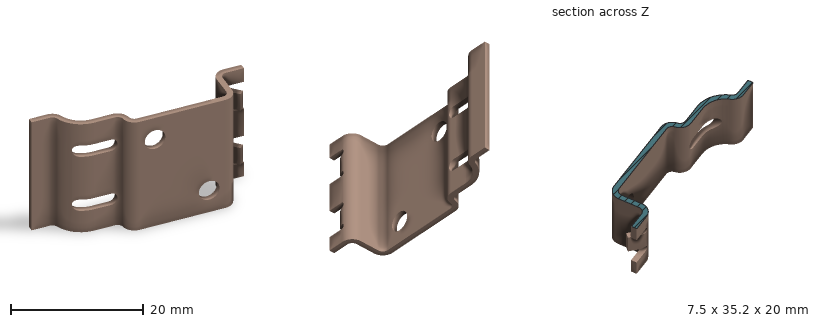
import cadquery as cq
import math

length = 35.2
depth = 7.5
height = 20.0
thickness = 1.0
bend_radius = 1.0
wide_bend_radius = 4.0

flange_length = 3.0
ledge_x = 3.9
plate_start_y = 15.0

tab_spacing = 10.0
tab_width = 3.05
slit_width = 0.95
tab_root_y = length - 3.2
tab_angle = 45.0
tab_straight = 1.8

hole_diameter = 3.4
hole_centers = [(17.55, 6.0), (26.55, -6.0)]
slot_length = 7.05
slot_width = 2.08
slot_center_y = 8.95
slot_spacing = 10.0


def sheet_strip(start, steps, width):
    """Sheet centred on Z = 0, starting along +Y with its -X face at start.

    Each step is ("straight", length) or ("bend", inside radius, angle);
    a positive angle turns left, towards -X.
    """
    x, y = start[0] + thickness / 2, start[1]
    heading = 90.0

    def face_point(side, at_x, at_y, at_heading):
        left = math.radians(at_heading + 90)
        shift = side * thickness / 2
        return at_x + shift * math.cos(left), at_y + shift * math.sin(left)

    stations = [(x, y, heading, None)]
    for kind, *values in steps:
        if kind == "straight":
            x += values[0] * math.cos(math.radians(heading))
            y += values[0] * math.sin(math.radians(heading))
            middle = None
        else:
            inside_radius, angle = values
            radius = inside_radius + thickness / 2
            turn = math.copysign(90, angle)
            to_center = math.radians(heading + turn)
            center_x = x + radius * math.cos(to_center)
            center_y = y + radius * math.sin(to_center)

            def on_bend(new_heading):
                outward = math.radians(new_heading - turn)
                return (center_x + radius * math.cos(outward),
                        center_y + radius * math.sin(outward), new_heading)

            middle = on_bend(heading + angle / 2)
            x, y, heading = on_bend(heading + angle)
        stations.append((x, y, heading, middle))

    def trace(outline, side, ends, middles):
        for end, middle in zip(ends, middles):
            point = face_point(side, *end[:3])
            if middle is None:
                outline = outline.lineTo(*point)
            else:
                outline = outline.threePointArc(face_point(side, *middle), point)
        return outline

    middles = [station[3] for station in stations[1:]]
    outline = cq.Workplane("XY").moveTo(*face_point(1, *stations[0][:3]))
    outline = trace(outline, 1, stations[1:], middles)
    outline = outline.lineTo(*face_point(-1, *stations[-1][:3]))
    outline = trace(outline, -1, stations[-2::-1], middles[::-1])
    return outline.close().extrude(width / 2, both=True)


def double_bend(offset, radius_sum):
    """Angle and length of two opposite bends that shift the sheet by offset."""
    angle = math.acos(1 - offset / radius_sum)
    return math.degrees(angle), radius_sum * math.sin(angle)


def along_x(y, z):
    """Sketch plane facing +X; its local axes are Y and Z."""
    return cq.Workplane("YZ").center(y, z)


def make_body():
    ledge_angle, ledge_rise = double_bend(ledge_x, bend_radius + wide_bend_radius + thickness)
    plate_x = depth - thickness
    plate_angle, plate_rise = double_bend(plate_x - ledge_x, 2 * bend_radius + thickness)
    ledge_straight = plate_start_y - plate_rise - flange_length - ledge_rise
    outer_radius = bend_radius + thickness
    bend_pair = bend_radius + outer_radius
    plate_straight = length - flange_length - bend_pair - plate_start_y
    web_straight = depth - bend_pair - thickness
    return sheet_strip((0, 0), [
        ("straight", flange_length),
        ("bend", bend_radius, -ledge_angle),
        ("bend", wide_bend_radius, ledge_angle),
        ("straight", ledge_straight),
        ("bend", bend_radius, -plate_angle),
        ("bend", bend_radius, plate_angle),
        ("straight", plate_straight),
        ("bend", bend_radius, 90),
        ("straight", web_straight),
        ("bend", bend_radius, -90),
        ("straight", flange_length),
    ], height)


def make_slits(z):
    """Two round-ended slits, one on each side of a tab."""
    slit_end_y = tab_root_y + slit_width / 2
    run = length - slit_end_y
    slits = cq.Workplane("YZ")
    for side in (-1, 1):
        slit_z = z + side * (tab_width + slit_width) / 2
        slits = slits.union(along_x(slit_end_y + run / 2, slit_z).rect(run, slit_width).extrude(depth))
        slits = slits.union(along_x(slit_end_y, slit_z).circle(slit_width / 2).extrude(depth))
    return slits


def add_tab(body, z):
    """Replace part of the upper flange by a tab bent towards +X."""
    blank_width = tab_width + slit_width
    run = length - tab_root_y
    window = along_x(tab_root_y + run / 2, z).rect(run, blank_width).extrude(depth)
    tab = sheet_strip((0, tab_root_y), [
        ("bend", bend_radius, -tab_angle),
        ("straight", tab_straight),
    ], blank_width).translate((0, 0, z))
    return body.cut(window).union(tab).cut(make_slits(z))


result = make_body()
for tab_z in (-tab_spacing / 2, tab_spacing / 2):
    result = add_tab(result, tab_z)

for hole_y, hole_z in hole_centers:
    result = result.cut(along_x(hole_y, hole_z).circle(hole_diameter / 2).extrude(depth))

for slot_z in (-slot_spacing / 2, slot_spacing / 2):
    result = result.cut(along_x(slot_center_y, slot_z).slot2D(slot_length, slot_width).extrude(depth))